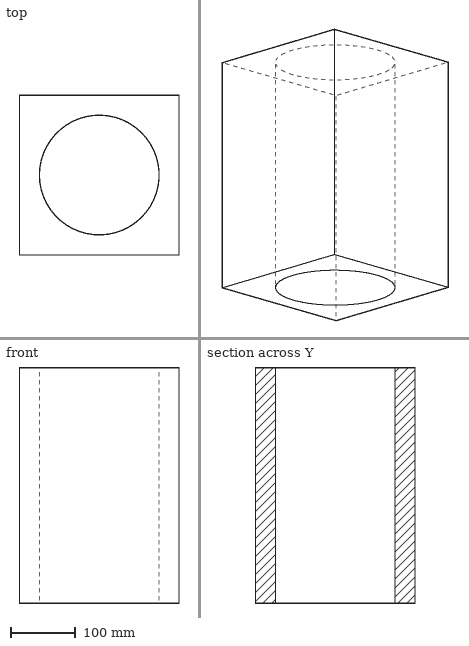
import cadquery as cq

block_side = 248.0
block_height = 365.0
bore_diameter = 185.0

block = cq.Workplane("XY").box(block_side, block_side, block_height)
result = block.faces(">Z").workplane().hole(bore_diameter)